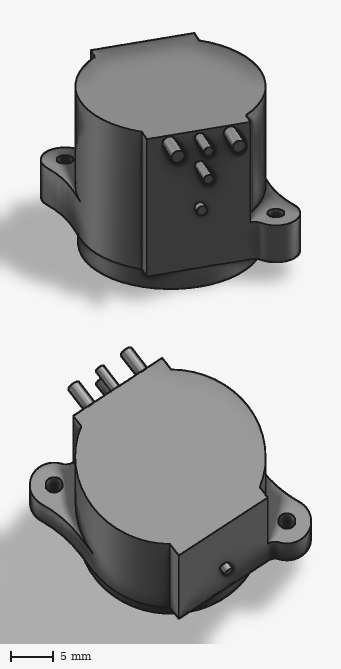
import cadquery as cq
import math

housing_radius = 11.3
block_half_width = 11.0
base_radius = block_half_width
base_height = 2.62
total_height = 21.5
block_far_corner = 6.6

lug_center = 9.9
lug_radius = 2.9
lug_thickness = 5.1
lug_hole_radius = 1.0
outer_blend_radius = 15
inner_blend_radius = 1.5

terminal_length = 3.5
outer_terminal_diameter = 1.6
outer_terminal_spacing = 7.65
upper_terminal_z = 20.52
middle_terminal_diameter = 1.2
lower_terminal_z = 16.7
stub_length = 0.98
stub_diameter = 1.25
right_stub_z = 11.0
left_stub_z = 9.72

outer_blend_y = housing_radius + outer_blend_radius
outer_blend_x = lug_center - math.sqrt(
    (lug_radius + outer_blend_radius) ** 2 - (outer_blend_y - lug_center) ** 2
)
inner_blend_x = block_half_width + inner_blend_radius
inner_blend_y = lug_center - math.sqrt(
    (lug_radius + inner_blend_radius) ** 2 - (inner_blend_x - lug_center) ** 2
)
block_near_corner = inner_blend_y


def point_on_circle(x, y, radius, angle):
    return x + radius * math.cos(angle), y + radius * math.sin(angle)


def make_housing():
    height = total_height - base_height
    drum = cq.Workplane("XY").workplane(offset=base_height).circle(housing_radius).extrude(height)
    width_limit = cq.Workplane("XY").box(
        2 * block_half_width, 2 * housing_radius, total_height, centered=(True, True, False)
    )
    block = (
        cq.Workplane("XY")
        .workplane(offset=base_height)
        .polyline([
            (block_half_width, block_near_corner),
            (0, block_near_corner),
            (0, block_far_corner),
            (-block_half_width, block_far_corner),
            (-block_half_width, -block_near_corner),
            (0, -block_near_corner),
            (0, -block_far_corner),
            (block_half_width, -block_far_corner),
        ])
        .close()
        .extrude(height)
    )
    base = cq.Workplane("XY").circle(base_radius).extrude(base_height)
    return drum.intersect(width_limit).union(block).union(base)


def make_lug():
    outer_angle = math.atan2(outer_blend_y - lug_center, outer_blend_x - lug_center)
    inner_angle = math.atan2(inner_blend_y - lug_center, inner_blend_x - lug_center)
    start_angle = -math.pi / 2
    outer_mid_angle = (outer_angle - math.pi + start_angle) / 2
    inner_mid_angle = (inner_angle + math.pi + math.pi) / 2

    def on_lug(angle):
        return point_on_circle(lug_center, lug_center, lug_radius, angle)

    outer_mid = point_on_circle(outer_blend_x, outer_blend_y, outer_blend_radius, outer_mid_angle)
    inner_mid = point_on_circle(inner_blend_x, inner_blend_y, inner_blend_radius, inner_mid_angle)
    return (
        cq.Workplane("XY")
        .workplane(offset=base_height)
        .lineTo(0, housing_radius)
        .lineTo(outer_blend_x, housing_radius)
        .threePointArc(outer_mid, on_lug(outer_angle))
        .threePointArc(on_lug((outer_angle + inner_angle) / 2), on_lug(inner_angle))
        .threePointArc(inner_mid, (block_half_width, inner_blend_y))
        .lineTo(0, inner_blend_y)
        .close()
        .extrude(lug_thickness)
        .cut(
            cq.Workplane("XY")
            .center(lug_center, lug_center)
            .circle(lug_hole_radius)
            .extrude(total_height)
        )
    )


def make_pin(side, y, z, diameter, length):
    """Pin standing out from a flat side; side is +1 for +X and -1 for -X."""
    return (
        cq.Workplane("YZ")
        .center(y, z)
        .circle(diameter / 2)
        .extrude(side * (block_half_width + length))
    )


result = make_housing()
for turn in (0, 180):
    result = result.union(make_lug().rotate((0, 0, 0), (0, 0, 1), turn))

for y in (-outer_terminal_spacing / 2, outer_terminal_spacing / 2):
    result = result.union(make_pin(1, y, upper_terminal_z, outer_terminal_diameter, terminal_length))
for z in (lower_terminal_z, upper_terminal_z):
    result = result.union(make_pin(1, 0, z, middle_terminal_diameter, terminal_length))
result = result.union(make_pin(1, 0, right_stub_z, stub_diameter, stub_length))
result = result.union(make_pin(-1, 0, left_stub_z, stub_diameter, stub_length))